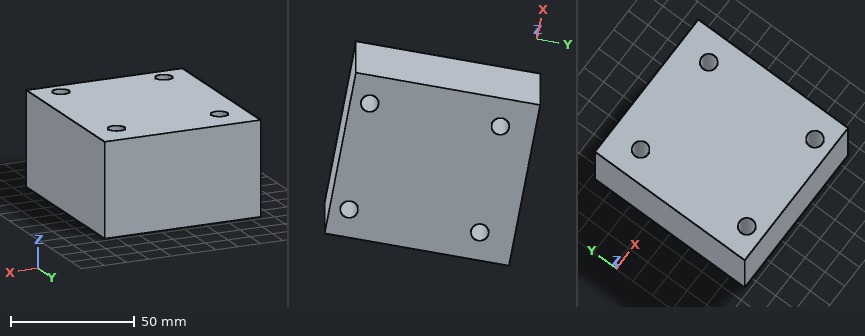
import cadquery as cq

width = 69.9
depth = 76.2
height = 41.4

hole_diameter = 7.2
hole_spacing_x = 46.0
hole_spacing_y = 53.95
hole_pattern_y = -3.2

block = cq.Workplane("XY").box(width, depth, height, centered=(True, True, False))

result = (
    block.faces(">Z")
    .workplane(origin=(0, hole_pattern_y, height))
    .rarray(hole_spacing_x, hole_spacing_y, 2, 2)
    .hole(hole_diameter)
)